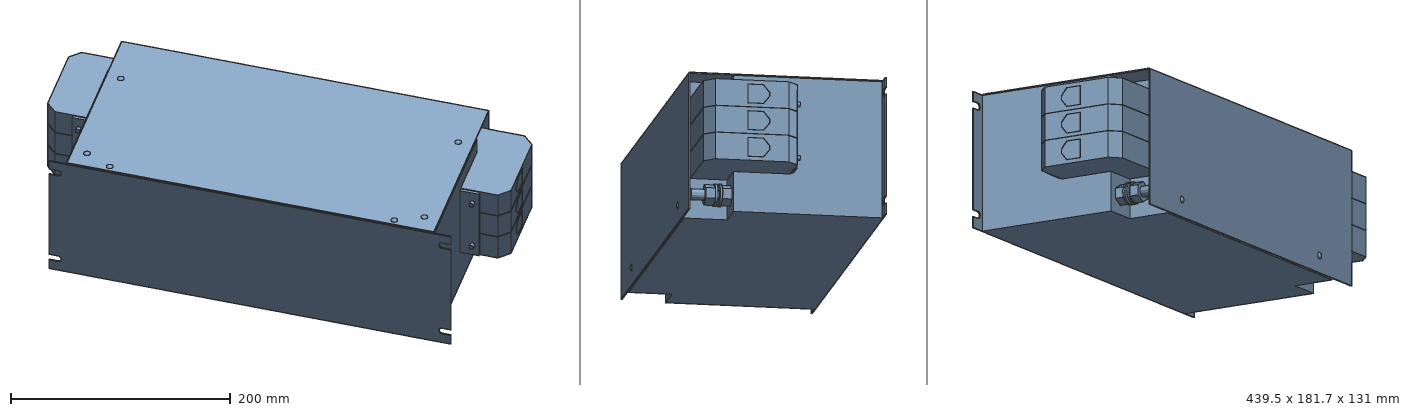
import cadquery as cq

sheet = 1.5
body_width = 350.0
body_height = 128.0
overall_depth = 180.2
cover_width = 348.0
cover_bend = 1.5
plate_width = 381.0

slot_width = 6.5
slot_depth = 11.5
lower_slot_z = 13.5
slot_spacing = 102.0

recess_front = 139.0
recess_width = 32.5

overall_width = 439.5
pole_count = 3
pole_height = 25.0
terminal_bottom = 37.5
terminal_height = pole_count * pole_height
terminal_front = 86.0
terminal_back = 173.0
terminal_chamfer = 9.5
seam_width = 0.1
seam_depth = 0.5

entry_back = 133.5
entry_shoulder = 119.0
entry_tip = 113.5
entry_height = 17.5
entry_tip_height = 3.5
entry_depth = 0.5

bracket_reach = 193.0
bracket_thickness = 2.5
bracket_inset = 1.0
bracket_screw_x = 187.0
bracket_screw_diameter = 4.5
bracket_screw_length = 4.0

head_diameter = 6.0
head_height = 1.5
top_screw_places = [(160.0, 129.0), (160.0, 19.0), (135.0, 7.0)]
back_screw_x = 118.5
back_screw_z = 17.5

stud_x = body_width / 2 - recess_width / 2
stud_z = 18.5
stud_diameter = 10.0
stud_end = 176.0
nut_corners = 19.5
nut_length = 9.0
washer_diameter = 20.5
washer_thickness = 2.0
washer_gap = 2.0

SIDES = (-1, 1)


def block(x_range, y_range, z_range):
    """Box between the given limits."""
    (x0, x1), (y0, y1), (z0, z1) = x_range, y_range, z_range
    return cq.Workplane("XY").box(x1 - x0, y1 - y0, z1 - z0, centered=False).translate((x0, y0, z0))


def centred_block(width, y_range, z_range):
    """Box centred across X."""
    return block((-width / 2, width / 2), y_range, z_range)


def facing_back(x, y, z):
    """Workplane at the given point whose normal points along +Y."""
    return cq.Workplane(cq.Plane(origin=(x, y, z), xDir=(-1, 0, 0), normal=(0, 1, 0)))


def mounting_plate():
    plate = centred_block(plate_width, (0, sheet), (0, body_height))
    radius = slot_width / 2
    for side in SIDES:
        for z in (lower_slot_z, lower_slot_z + slot_spacing):
            round_x = side * (plate_width / 2 - slot_depth + radius)
            outer_x = side * plate_width / 2
            straight = block(sorted((round_x, outer_x)), (0, sheet), (z - radius, z + radius))
            plate = plate.cut(straight)
            plate = plate.cut(facing_back(round_x, 0, z).circle(radius).extrude(sheet))
    return plate


def body():
    body_back = overall_depth - sheet
    housing = centred_block(body_width, (sheet, recess_front), (0, body_height))
    rear_width = body_width - 2 * recess_width
    return housing.union(centred_block(rear_width, (recess_front, body_back), (0, body_height)))


def cover():
    outer_top = body_height + sheet
    outer = centred_block(cover_width, (sheet, overall_depth), (sheet, outer_top))
    outer = outer.edges(">Y and >Z").fillet(cover_bend)
    inside = centred_block(cover_width, (0, overall_depth - sheet), (0, body_height))
    return outer.cut(inside)


def domed_head():
    """Screw head on the XY plane, shaped as a shallow cap of a sphere."""
    radius = head_diameter / 2
    sphere_radius = (radius**2 + head_height**2) / (2 * head_height)
    sphere = cq.Workplane("XY").sphere(sphere_radius).translate((0, 0, head_height - sphere_radius))
    return sphere.intersect(cq.Workplane("XY").circle(radius).extrude(head_height))


def cover_screws():
    head = domed_head()
    back_head = head.rotate((0, 0, 0), (1, 0, 0), -90)
    heads = cq.Workplane("XY")
    for side in SIDES:
        for x, y in top_screw_places:
            heads = heads.add(head.translate((side * x, y, body_height + sheet)))
        heads = heads.add(back_head.translate((side * back_screw_x, overall_depth, back_screw_z)))
    return heads.combine()


def terminal_prism(inset, bottom, height):
    """Chamfered block of the -X end, its outer faces moved inwards by the inset."""
    outer_x = -overall_width / 2 + inset
    inner_x = -body_width / 2 + recess_width
    y_range = (terminal_front + inset, terminal_back - inset)
    prism = block((outer_x, inner_x), y_range, (bottom, bottom + height))
    return prism.edges("|Z and <X").chamfer(terminal_chamfer)


def terminal_block():
    """Terminal block of the -X end, reaching to the inner wall of the recess."""
    outer_x = -overall_width / 2
    terminal = terminal_prism(seam_depth, terminal_bottom, terminal_height)
    for pole in range(pole_count):
        pole_bottom = terminal_bottom + pole * pole_height
        if pole > 0:
            pole_bottom += seam_width
        pole_top = terminal_bottom + (pole + 1) * pole_height
        terminal = terminal.union(terminal_prism(0, pole_bottom, pole_top - pole_bottom))

    for pole in range(pole_count):
        middle = terminal_bottom + (pole + 0.5) * pole_height
        low = middle - entry_height / 2
        high = middle + entry_height / 2
        tip_low = middle - entry_tip_height / 2
        tip_high = middle + entry_tip_height / 2
        entry = (
            cq.Workplane("YZ", origin=(outer_x, 0, 0))
            .moveTo(entry_back, low)
            .lineTo(entry_shoulder, low)
            .lineTo(entry_tip, tip_low)
            .lineTo(entry_tip, tip_high)
            .lineTo(entry_shoulder, high)
            .lineTo(entry_back, high)
            .close()
            .extrude(entry_depth)
        )
        terminal = terminal.cut(entry)
    return terminal


def bracket():
    """Bracket of the -X end with its two screw ends, level with the outermost poles."""
    low = terminal_bottom + bracket_inset
    high = terminal_bottom + terminal_height - bracket_inset
    front = terminal_front - bracket_thickness
    strip = block((-bracket_reach, -body_width / 2), (front, terminal_front), (low, high))
    for pole in (0, pole_count - 1):
        z = terminal_bottom + (pole + 0.5) * pole_height
        screw = facing_back(-bracket_screw_x, front, z).circle(bracket_screw_diameter / 2)
        strip = strip.union(screw.extrude(-bracket_screw_length))
    return strip


def earth_stud():
    """Stud of the -X end with two nuts that hold a pair of spaced washers."""
    def disc(y, diameter, length):
        return facing_back(-stud_x, y, stud_z).circle(diameter / 2).extrude(length)

    def nut(y):
        corner_up = facing_back(-stud_x, y, stud_z).transformed(rotate=(0, 0, 90))
        return corner_up.polygon(6, nut_corners).extrude(nut_length)

    inner_washer = recess_front + nut_length
    outer_washer = inner_washer + washer_thickness + washer_gap
    stud = disc(recess_front, stud_diameter, stud_end - recess_front)
    stud = stud.union(nut(recess_front))
    stud = stud.union(disc(inner_washer, washer_diameter, washer_thickness))
    stud = stud.union(disc(outer_washer, washer_diameter, washer_thickness))
    return stud.union(nut(outer_washer + washer_thickness))


result = body().union(mounting_plate()).union(cover()).union(cover_screws())
for make_fitting in (terminal_block, bracket, earth_stud):
    fitting = make_fitting()
    result = result.union(fitting).union(fitting.mirror("YZ"))